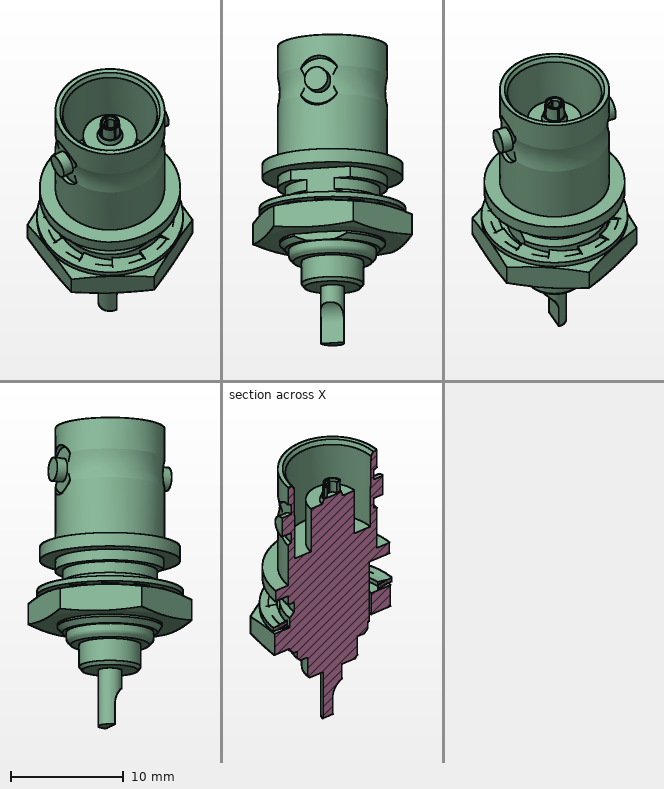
import cadquery as cq
import math


TOTAL_HEIGHT = 27.0
TAIL_ROOT_Z = 5.08
REAR_BODY_Z = 7.4
THREAD_BOTTOM_Z = 8.5
NUT_BOTTOM_Z = 9.18
NUT_TOP_Z = 11.55
WASHER_BOTTOM_Z = 11.83
THREAD_TOP_Z = 13.07
NECK_TOP_Z = 14.07
FLANGE_BOTTOM_Z = 15.05
FLANGE_TOP_Z = 16.25
LUG_Z = 22.87

BARREL_RADIUS = 4.85
FLANGE_RADIUS = 6.25
NECK_RADIUS = 4.2
THREAD_RADIUS = 4.7
THREAD_CHAMFER = THREAD_RADIUS - NECK_RADIUS
THREAD_FLAT_Y = 4.02
REAR_BODY_RADIUS = 3.9
REAR_BODY_CHAMFER = 0.4
REAR_BODY_FILLET = 0.35
FERRULE_RADIUS = 2.75
FERRULE_CHAMFER_WIDTH = 0.27
FERRULE_CHAMFER_HEIGHT = 0.32

GROOVE_HALF_HEIGHT = 1.3
GROOVE_RADIUS = 4.7

LUG_RADIUS = 1.05
LUG_REACH = 5.5
SPOT_FLOOR_Y = 4.54
SPOT_FLOOR_RADIUS = 2.05
SPOT_RIM_RADIUS = 2.25

SOCKET_MOUTH_RADIUS = 4.43
SOCKET_THROAT_RADIUS = 4.18
SOCKET_RADIUS = 4.1
SOCKET_MOUTH_DEPTH = 0.4
SOCKET_DEPTH = 8.1

INSULATOR_RADIUS = 2.38
INSULATOR_DEPTH = 3.4
CONTACT_ROOT_RADIUS = 1.13
CONTACT_COLLAR_RADIUS = 0.97
CONTACT_COLLAR_DEPTH = 2.92
CONTACT_RADIUS = 0.9
CONTACT_TIP_RADIUS = 0.85
CONTACT_TIP_DEPTH = 1.6
CONTACT_MOUTH_RADIUS = 0.68
CONTACT_HOLE_RADIUS = 0.5
CONTACT_HOLE_DEPTH = 1.35
CONTACT_SLOT_WIDTH = 0.14

TAIL_RADIUS = LUG_RADIUS
TAIL_FLAT_Y = 0.05
TAIL_FLAT_HEIGHT = 1.9
TAIL_RUNOUT_RADIUS = 1.78

NUT_CORNER_DIAMETER = 14.65
NUT_FLAT_RADIUS = NUT_CORNER_DIAMETER / 2 * math.cos(math.pi / 6)
NUT_CHAMFER_HEIGHT = 0.27

WASHER_RADIUS = 6.494
WASHER_THICKNESS = 0.45
WASHER_INNER_RADIUS = 4.95
TOOTH_ROOT_RADIUS = 5.7
TOOTH_COUNT = 12
TOOTH_TWIST = 0.22


def disc(radius, bottom, top):
    """Upright cylinder on the main axis."""
    return cq.Workplane("XY").workplane(offset=bottom).circle(radius).extrude(top - bottom)


def make_barrel():
    """Turned barrel with the concave waist groove, and the panel flange."""
    return (
        cq.Workplane("XZ")
        .moveTo(0, FLANGE_BOTTOM_Z)
        .lineTo(FLANGE_RADIUS, FLANGE_BOTTOM_Z)
        .lineTo(FLANGE_RADIUS, FLANGE_TOP_Z)
        .lineTo(BARREL_RADIUS, FLANGE_TOP_Z)
        .lineTo(BARREL_RADIUS, LUG_Z - GROOVE_HALF_HEIGHT)
        .threePointArc((GROOVE_RADIUS, LUG_Z), (BARREL_RADIUS, LUG_Z + GROOVE_HALF_HEIGHT))
        .lineTo(BARREL_RADIUS, TOTAL_HEIGHT)
        .lineTo(0, TOTAL_HEIGHT)
        .close()
        .revolve(360, (0, 0, 0), (0, 1, 0))
    )


def make_spot_face():
    """Conical cutter that leaves a flat floor around a lug on the -Y side."""
    flare = (SPOT_RIM_RADIUS - SPOT_FLOOR_RADIUS) / (BARREL_RADIUS - SPOT_FLOOR_Y)
    cutter_depth = LUG_REACH - SPOT_FLOOR_Y
    outer_radius = SPOT_FLOOR_RADIUS + flare * cutter_depth
    cone = cq.Solid.makeCone(
        SPOT_FLOOR_RADIUS,
        outer_radius,
        cutter_depth,
        cq.Vector(0, -SPOT_FLOOR_Y, LUG_Z),
        cq.Vector(0, -1, 0),
    )
    return cq.Workplane(cone)


def make_lug():
    """Bayonet lug on the -Y side, rooted in the barrel wall."""
    root_y = (SOCKET_THROAT_RADIUS + SPOT_FLOOR_Y) / 2
    lug = cq.Solid.makeCylinder(
        LUG_RADIUS,
        LUG_REACH - root_y,
        cq.Vector(0, -root_y, LUG_Z),
        cq.Vector(0, -1, 0),
    )
    return cq.Workplane(lug)


def make_socket():
    """Cutter for the mating socket: flared mouth above a slightly tapered bore."""
    return (
        cq.Workplane("XZ")
        .moveTo(0, TOTAL_HEIGHT)
        .lineTo(SOCKET_MOUTH_RADIUS, TOTAL_HEIGHT)
        .lineTo(SOCKET_THROAT_RADIUS, TOTAL_HEIGHT - SOCKET_MOUTH_DEPTH)
        .lineTo(SOCKET_RADIUS, TOTAL_HEIGHT - SOCKET_DEPTH)
        .lineTo(0, TOTAL_HEIGHT - SOCKET_DEPTH)
        .close()
        .revolve(360, (0, 0, 0), (0, 1, 0))
    )


def make_insulator():
    """Insulator post standing on the socket floor."""
    return disc(INSULATOR_RADIUS, TOTAL_HEIGHT - SOCKET_DEPTH, TOTAL_HEIGHT - INSULATOR_DEPTH)


def make_contact():
    """Socket contact on a conical collar, with a countersunk blind hole and side slots."""
    bottom = TOTAL_HEIGHT - INSULATOR_DEPTH
    tip = TOTAL_HEIGHT - CONTACT_TIP_DEPTH
    hole_bottom = tip - CONTACT_HOLE_DEPTH
    countersink_bottom = tip - (CONTACT_MOUTH_RADIUS - CONTACT_HOLE_RADIUS)
    collar_top = TOTAL_HEIGHT - CONTACT_COLLAR_DEPTH
    contact = (
        cq.Workplane("XZ")
        .moveTo(0, hole_bottom)
        .lineTo(CONTACT_HOLE_RADIUS, hole_bottom)
        .lineTo(CONTACT_HOLE_RADIUS, countersink_bottom)
        .lineTo(CONTACT_MOUTH_RADIUS, tip)
        .lineTo(CONTACT_TIP_RADIUS, tip)
        .lineTo(CONTACT_RADIUS, collar_top)
        .lineTo(CONTACT_COLLAR_RADIUS, collar_top)
        .lineTo(CONTACT_ROOT_RADIUS, bottom)
        .lineTo(0, bottom)
        .close()
        .revolve(360, (0, 0, 0), (0, 1, 0))
    )
    for angle in (0, 90):
        slot = (
            cq.Workplane("XY")
            .workplane(offset=collar_top)
            .rect(2 * CONTACT_COLLAR_RADIUS, CONTACT_SLOT_WIDTH)
            .extrude(countersink_bottom - collar_top)
            .rotate((0, 0, 0), (0, 0, 1), angle)
        )
        contact = contact.cut(slot)
    return contact


def make_threaded_shank():
    """Collar, neck and thread below the flange, with a flat along the +Y side."""
    shank = disc(BARREL_RADIUS, NECK_TOP_Z, FLANGE_BOTTOM_Z)
    shank = shank.union(disc(NECK_RADIUS, THREAD_TOP_Z, NECK_TOP_Z))
    thread = disc(THREAD_RADIUS, THREAD_BOTTOM_Z, THREAD_TOP_Z)
    shank = shank.union(thread.faces("<Z or >Z").chamfer(THREAD_CHAMFER))

    shank_height = FLANGE_BOTTOM_Z - THREAD_BOTTOM_Z
    flat = (
        cq.Workplane("XY")
        .workplane(offset=THREAD_BOTTOM_Z)
        .center(0, THREAD_FLAT_Y + BARREL_RADIUS)
        .rect(2 * BARREL_RADIUS, 2 * BARREL_RADIUS)
        .extrude(shank_height)
    )
    return shank.cut(flat)


def make_rear_body():
    """Rear shoulder with a blended chamfer, and the chamfered ferrule behind it."""
    shoulder = disc(REAR_BODY_RADIUS, REAR_BODY_Z, THREAD_BOTTOM_Z)
    shoulder = shoulder.faces("<Z").chamfer(REAR_BODY_CHAMFER)
    shoulder = shoulder.edges("%CIRCLE and (not <Z) and (not >Z)").fillet(REAR_BODY_FILLET)
    ferrule = disc(FERRULE_RADIUS, TAIL_ROOT_Z, REAR_BODY_Z)
    ferrule = ferrule.faces("<Z").chamfer(FERRULE_CHAMFER_HEIGHT, FERRULE_CHAMFER_WIDTH)
    return shoulder.union(ferrule)


def make_tail():
    """Solder tail whose +Y half is removed at the tip, with a rounded run-out."""
    tail = disc(TAIL_RADIUS, 0, TAIL_ROOT_Z)
    runout_y = TAIL_FLAT_Y + TAIL_RUNOUT_RADIUS
    runout_z = TAIL_FLAT_HEIGHT + TAIL_RUNOUT_RADIUS
    notch = (
        cq.Workplane("YZ")
        .moveTo(TAIL_FLAT_Y, 0)
        .lineTo(TAIL_FLAT_Y, TAIL_FLAT_HEIGHT)
        .radiusArc((runout_y, runout_z), TAIL_RUNOUT_RADIUS)
        .lineTo(runout_y, 0)
        .close()
        .extrude(TAIL_RADIUS, both=True)
    )
    return tail.cut(notch)


def make_nut():
    """Hexagonal nut with corners on the X axis, chamfered on both faces."""
    height = NUT_TOP_Z - NUT_BOTTOM_Z
    corner_radius = NUT_CORNER_DIAMETER / 2
    hexagon = (
        cq.Workplane("XY")
        .workplane(offset=NUT_BOTTOM_Z)
        .polygon(6, NUT_CORNER_DIAMETER)
        .extrude(height)
    )
    envelope = disc(corner_radius, NUT_BOTTOM_Z, NUT_TOP_Z)
    chamfer_width = corner_radius - NUT_FLAT_RADIUS
    for face in ("<Z", ">Z"):
        envelope = envelope.faces(face).chamfer(NUT_CHAMFER_HEIGHT, chamfer_width)
    bore = disc(NECK_RADIUS, NUT_BOTTOM_Z, NUT_TOP_Z)
    return hexagon.intersect(envelope).cut(bore)


def make_jack():
    """Complete jack, one solid with its nut."""
    barrel = make_barrel()
    spot_face = make_spot_face()
    lug = make_lug()
    for angle in (0, 180):
        barrel = barrel.cut(spot_face.rotate((0, 0, 0), (0, 0, 1), angle))
        barrel = barrel.union(lug.rotate((0, 0, 0), (0, 0, 1), angle))
    jack = barrel.cut(make_socket())
    for piece in (
        make_insulator(),
        make_contact(),
        make_threaded_shank(),
        make_rear_body(),
        make_tail(),
        make_nut(),
    ):
        jack = jack.union(piece)
    return jack


def tooth_section(angle, lift):
    """Radial section of a tooth at an angle, its inner end raised by the lift."""
    root = TOOTH_ROOT_RADIUS / math.cos(math.pi / TOOTH_COUNT)
    direction = cq.Vector(math.cos(angle), math.sin(angle), 0)
    bottom = cq.Vector(0, 0, WASHER_BOTTOM_Z)
    rise = cq.Vector(0, 0, lift)
    thickness = cq.Vector(0, 0, WASHER_THICKNESS)
    root_bottom = direction * root + bottom
    tip_bottom = direction * THREAD_RADIUS + bottom + rise
    corners = [root_bottom, root_bottom + thickness, tip_bottom + thickness, tip_bottom]
    return cq.Wire.makePolygon(corners, close=True)


def make_washer():
    """Flat ring with a full circle of inner teeth, each twisted about its radius."""
    top = WASHER_BOTTOM_Z + WASHER_THICKNESS
    washer = disc(WASHER_RADIUS, WASHER_BOTTOM_Z, top)
    washer = washer.cut(disc(TOOTH_ROOT_RADIUS, WASHER_BOTTOM_Z, top))
    tooth_angle = 2 * math.pi / TOOTH_COUNT
    for index in range(TOOTH_COUNT):
        start = tooth_section(index * tooth_angle, TOOTH_TWIST)
        end = tooth_section((index + 1) * tooth_angle, -TOOTH_TWIST)
        tooth = cq.Solid.makeLoft([start, end], True)
        washer = washer.union(cq.Workplane(tooth))
    hole = disc(WASHER_INNER_RADIUS, WASHER_BOTTOM_Z - TOOTH_TWIST, top + TOOTH_TWIST)
    return washer.cut(hole)


jack = make_jack()
washer = make_washer()
result = cq.Compound.makeCompound([jack.solids().val(), washer.solids().val()])